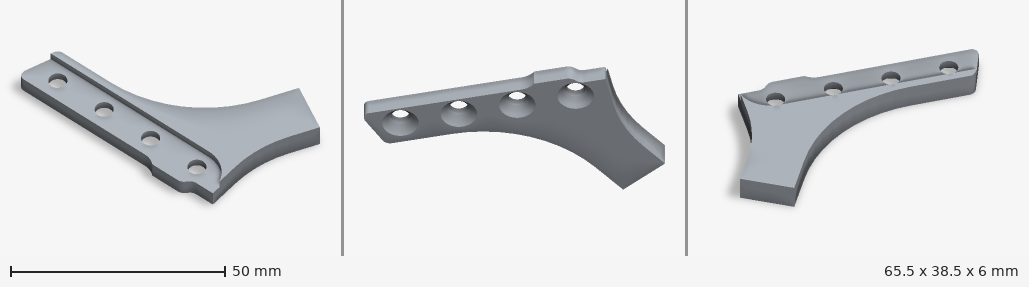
import cadquery as cq
import math

length = 65.5
width = 38.5
thickness = 6.0

foot_bottom = 1.25
foot_top = 12.05
foot_right = 57.85
end_slant = math.radians(20)
slant_bottom = 3.3
lower_corner_radius = 1.5
upper_corner_radius = 2.0

arm_angle = math.radians(61)
arm_width = 13.05
inner_radius = 34.85
outer_radius = 31.4

bump_start = 38.0
bump_flat_start = 41.25
bump_flat_end = 48.9
bump_blend_radius = 2.3
bump_blend_angle = math.radians(45)
heel_bottom = 2.0

ledge_height = 4.05
ledge_top = 10.1
ledge_arc_start = 50.05
ledge_radius = 8.2

hole_count = 4
hole_diameter = 4.45
hole_pitch = 13.95
first_hole_x = 8.0
hole_y = 5.95
countersink_diameter = 8.5
countersink_depth = 2.0


def on_circle(center, radius, angle):
    return (center[0] + radius * math.cos(angle), center[1] + radius * math.sin(angle))


def add_arc(sketch, center, radius, start, end):
    """Continue the outline to the end angle of an arc, from its start angle."""
    middle = on_circle(center, radius, (start + end) / 2)
    return sketch.threePointArc(middle, on_circle(center, radius, end))


def make_plate():
    up = math.pi / 2
    left = math.pi
    down = -math.pi / 2

    arm_tip_right = (length, width - arm_width * math.cos(arm_angle))
    arm_tip_left = (length - arm_width * math.sin(arm_angle), width)

    outer_end_x = foot_right + outer_radius * (1 - math.sin(arm_angle))
    outer_end_y = arm_tip_right[1] - (length - outer_end_x) * math.tan(arm_angle)
    outer_center = (foot_right + outer_radius, outer_end_y - outer_radius * math.cos(arm_angle))
    outer_end_angle = arm_angle + up

    inner_end_y = foot_top + inner_radius * (1 - math.cos(arm_angle))
    inner_end_x = arm_tip_left[0] - (width - inner_end_y) / math.tan(arm_angle)
    inner_center = (inner_end_x - inner_radius * math.sin(arm_angle), foot_top + inner_radius)
    inner_start_angle = arm_angle - up

    slant_normal = left - end_slant
    lower_center = (lower_corner_radius, foot_bottom + lower_corner_radius)
    upper_center_y = foot_top - upper_corner_radius
    slant_end_y = upper_center_y + upper_corner_radius * math.sin(end_slant)
    slant_end_x = (slant_end_y - slant_bottom) * math.tan(end_slant)
    upper_center = (slant_end_x + upper_corner_radius * math.cos(end_slant), upper_center_y)

    bump_run = bump_flat_start - bump_start
    bump_radius = (bump_run**2 + foot_bottom**2) / (2 * foot_bottom)
    bump_center = (bump_start, foot_bottom - bump_radius)
    bump_end_angle = math.acos(bump_run / bump_radius)

    blend_center = (bump_flat_end, bump_blend_radius)
    arc_rise = bump_blend_radius * (1 - math.cos(bump_blend_angle))
    arc_run = bump_blend_radius * math.sin(bump_blend_angle)
    slope_run = (heel_bottom - 2 * arc_rise) / math.tan(bump_blend_angle)
    heel_start = bump_flat_end + 2 * arc_run + slope_run
    heel_center = (heel_start, heel_bottom - bump_blend_radius)
    heel_angle = up + bump_blend_angle

    outline = cq.Workplane("XY").moveTo(lower_center[0], foot_bottom).lineTo(bump_start, foot_bottom)
    outline = add_arc(outline, bump_center, bump_radius, up, bump_end_angle)
    outline = outline.lineTo(bump_flat_end, 0)
    outline = add_arc(outline, blend_center, bump_blend_radius, down, down + bump_blend_angle)
    outline = outline.lineTo(*on_circle(heel_center, bump_blend_radius, heel_angle))
    outline = add_arc(outline, heel_center, bump_blend_radius, heel_angle, up)
    outline = outline.lineTo(foot_right, heel_bottom).lineTo(foot_right, outer_center[1])
    outline = add_arc(outline, outer_center, outer_radius, left, outer_end_angle)
    outline = outline.lineTo(*arm_tip_right).lineTo(*arm_tip_left).lineTo(inner_end_x, inner_end_y)
    outline = add_arc(outline, inner_center, inner_radius, inner_start_angle, down)
    outline = outline.lineTo(upper_center[0], foot_top)
    outline = add_arc(outline, upper_center, upper_corner_radius, up, slant_normal)
    outline = outline.lineTo(0, slant_bottom).lineTo(0, lower_center[1])
    outline = add_arc(outline, lower_center, lower_corner_radius, left, left + up)
    return outline.close().extrude(thickness)


def make_ledge_cutter():
    """Material above the ledge; its upper right corner is a quarter circle."""
    center = (ledge_arc_start, ledge_top - ledge_radius)
    cutter = cq.Workplane("XY", origin=(0, 0, ledge_height)).moveTo(0, 0)
    cutter = cutter.lineTo(center[0] + ledge_radius, 0).lineTo(center[0] + ledge_radius, center[1])
    cutter = add_arc(cutter, center, ledge_radius, 0, math.pi / 2)
    return cutter.lineTo(0, ledge_top).close().extrude(thickness - ledge_height)


def make_holes():
    """Through holes, each countersunk from the underside."""
    centers = [(first_hole_x + i * hole_pitch, hole_y) for i in range(hole_count)]
    base = cq.Workplane("XY").pushPoints(centers)
    holes = base.circle(hole_diameter / 2).extrude(thickness)
    taper = math.degrees(math.atan((countersink_diameter - hole_diameter) / (2 * countersink_depth)))
    countersinks = base.circle(countersink_diameter / 2).extrude(countersink_depth, taper=taper)
    return holes.union(countersinks)


result = make_plate().cut(make_ledge_cutter()).cut(make_holes())